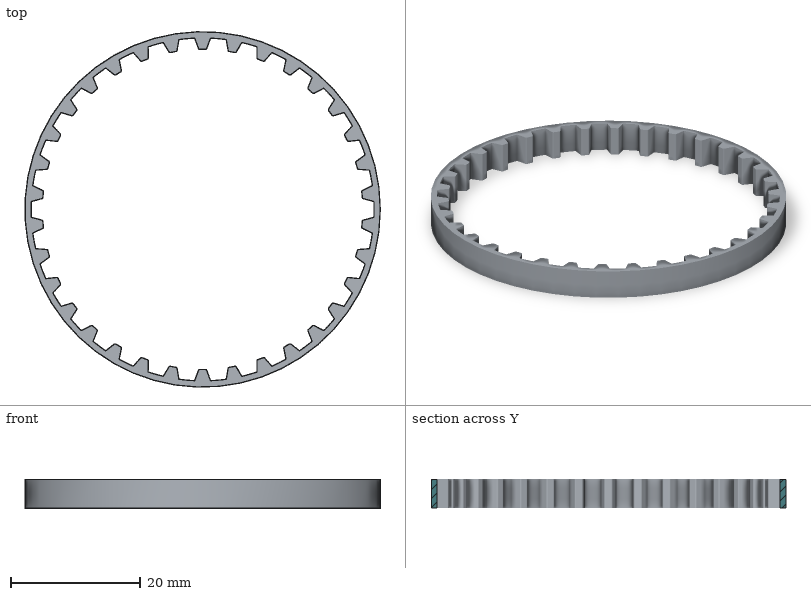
import cadquery as cq

outer_diameter = 55.0
belt_width = 4.5
backing_thickness = 1.0

tooth_count = 34
tooth_height = 1.75
tooth_root_width = 2.5
tooth_tip_width = 1.2
tip_radius = 0.25

outer_radius = outer_diameter / 2
root_radius = outer_radius - backing_thickness
tip_distance = root_radius - tooth_height

embed_depth = backing_thickness / 2
embed_distance = root_radius + embed_depth
flank_spread = (tooth_root_width - tooth_tip_width) / tooth_height
tooth_embed_width = tooth_root_width + flank_spread * embed_depth


def make_backing():
    """Plain ring that carries the teeth."""
    return cq.Workplane("XY").circle(outer_radius).circle(root_radius).extrude(belt_width)


def make_tooth():
    """One tooth on the +Y side, with its two tip edges rounded."""
    tooth = (
        cq.Workplane("XY")
        .moveTo(-tooth_tip_width / 2, tip_distance)
        .lineTo(tooth_tip_width / 2, tip_distance)
        .lineTo(tooth_embed_width / 2, embed_distance)
        .lineTo(-tooth_embed_width / 2, embed_distance)
        .close()
        .extrude(belt_width)
    )
    return tooth.faces("<Y").edges("|Z").fillet(tip_radius)


def make_belt():
    """Backing ring with the teeth evenly spaced around its inside."""
    belt = make_backing()
    tooth = make_tooth()
    pitch_angle = 360.0 / tooth_count
    for index in range(tooth_count):
        belt = belt.union(tooth.rotate((0, 0, 0), (0, 0, 1), index * pitch_angle))
    return belt


result = make_belt()